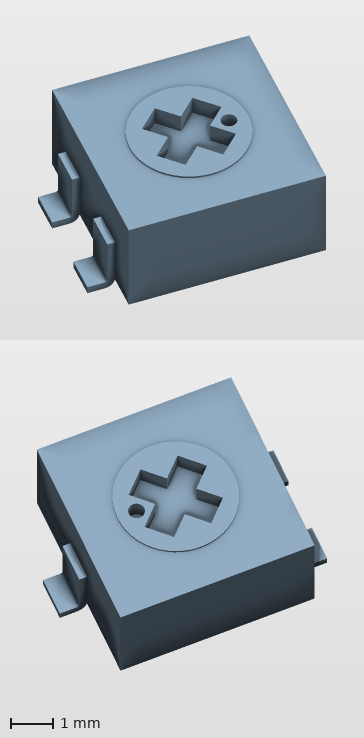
import cadquery as cq

body_side = 5.0
body_height = 2.5
rotor_diameter = 3.0
rotor_rise = 0.05
rotor_top = body_height + rotor_rise

cross_length = 2.1
cross_width = 0.75
cross_depth = 0.5
pointer_diameter = 0.4
pointer_offset = 1.01
pointer_depth = 0.5

overall_length = 6.4
lead_thickness = 0.2
lead_height = 1.46
bend_inner_radius = 0.065
bend_outer_radius = bend_inner_radius + lead_thickness
front_lead_width = 0.915
front_lead_offset = 1.15
back_lead_width = 1.0


def make_lead(width, x_center):
    """L-shaped lead on the -Y wall, with its foot pointing outwards."""
    wall_y = -body_side / 2
    tip_y = -overall_length / 2
    foot_bottom = -lead_thickness
    lead_top = foot_bottom + lead_height
    profile = (
        cq.Workplane("YZ")
        .moveTo(tip_y, foot_bottom)
        .lineTo(wall_y - bend_outer_radius, foot_bottom)
        .radiusArc((wall_y, foot_bottom + bend_outer_radius), -bend_outer_radius)
        .lineTo(wall_y, lead_top)
        .lineTo(wall_y - lead_thickness, lead_top)
        .lineTo(wall_y - lead_thickness, bend_inner_radius)
        .radiusArc((wall_y - bend_outer_radius, 0), bend_inner_radius)
        .lineTo(tip_y, 0)
        .close()
    )
    return profile.extrude(width / 2, both=True).translate((x_center, 0, 0))


def make_cross():
    """Cross-shaped recess with its arms along the diagonals."""
    bar = cq.Workplane("XY").workplane(offset=rotor_top).rect(cross_length, cross_width).extrude(-cross_depth)
    axis_start = (0, 0, 0)
    axis_end = (0, 0, 1)
    return bar.rotate(axis_start, axis_end, 45).union(bar.rotate(axis_start, axis_end, -45))


body = cq.Workplane("XY").rect(body_side, body_side).extrude(body_height)
rotor = cq.Workplane("XY").circle(rotor_diameter / 2).extrude(rotor_top)
result = body.union(rotor)

pointer_hole = (
    cq.Workplane("XY")
    .workplane(offset=rotor_top)
    .center(0, pointer_offset)
    .circle(pointer_diameter / 2)
    .extrude(-pointer_depth)
)
result = result.cut(make_cross()).cut(pointer_hole)

for side in (-1, 1):
    result = result.union(make_lead(front_lead_width, side * front_lead_offset))
back_lead = make_lead(back_lead_width, 0).rotate((0, 0, 0), (0, 0, 1), 180)
result = result.union(back_lead)